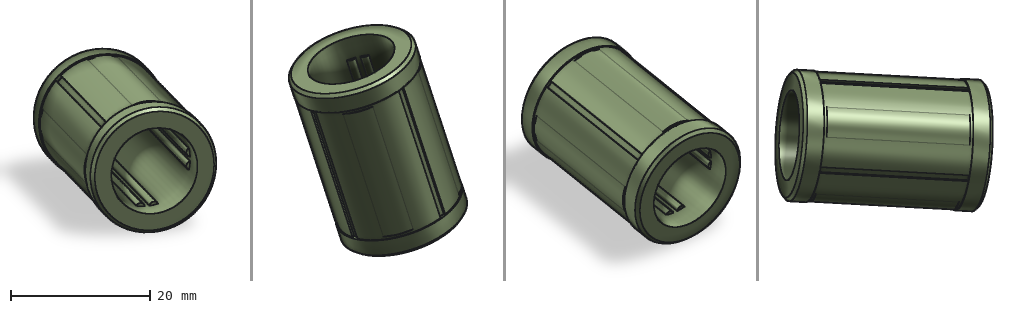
import cadquery as cq
import math

length = 28.0
outer_dia = 19.0
bore_dia = 13.0
shaft_dia = 11.98

ring_width = 3.0
ring_chamfer = 0.5
sleeve_drop = 0.2

pad_length = 21.1
pad_width = 4.45

groove_width = 1.0
groove_depth = 0.35

ball_radius = 0.7
track_spacing = 2.07

outer_radius = outer_dia / 2
bore_radius = bore_dia / 2
shaft_radius = shaft_dia / 2
sleeve_radius = outer_radius - sleeve_drop
sleeve_length = length - 2 * ring_width
track_length = pad_length
track_offset = track_spacing / 2
track_height = math.sqrt((shaft_radius + ball_radius) ** 2 - track_offset**2)

quarter_turns = [0, 90, 180, 270]
diagonals = [45, 135, 225, 315]


def rod(radius, rod_length):
    """Solid cylinder along X, centred on the origin."""
    return cq.Workplane("YZ").circle(radius).extrude(rod_length / 2, both=True)


def around_axis(shape, angles):
    """Copies of a shape turned about the X axis, joined together."""
    copies = cq.Workplane("YZ")
    for angle in angles:
        copies = copies.add(shape.rotate((0, 0, 0), (1, 0, 0), angle))
    return copies.combine()


def stepped_body():
    """Full-diameter chamfered end rings with the slightly smaller sleeve between."""
    body = rod(outer_radius, length).faces("<X or >X").chamfer(ring_chamfer)
    waist = rod(outer_radius, sleeve_length).cut(rod(sleeve_radius, sleeve_length))
    return body.cut(waist)


def grooves():
    """Cutters for the lengthwise grooves, running from ring to ring."""
    floor_height = sleeve_radius - groove_depth
    cutter = cq.Workplane("XY").workplane(offset=floor_height)
    cutter = cutter.rect(sleeve_length, groove_width).extrude(outer_radius - floor_height)
    return around_axis(cutter, diagonals)


def pads():
    """Crowned plates: crest as high as the end rings, long edges running out on the sleeve."""
    half_width = pad_width / 2
    edge_height = math.sqrt(sleeve_radius**2 - half_width**2)
    pad = (
        cq.Workplane("YZ")
        .moveTo(-half_width, bore_radius)
        .lineTo(-half_width, edge_height)
        .threePointArc((0, outer_radius), (half_width, edge_height))
        .lineTo(half_width, bore_radius)
        .close()
        .extrude(pad_length / 2, both=True)
    )
    return around_axis(pad, quarter_turns)


def ball_tracks():
    """Pairs of rounded tracks inside the bore, set back behind the end rings."""
    pair = (
        cq.Workplane("YZ")
        .pushPoints([(-track_offset, track_height), (track_offset, track_height)])
        .circle(ball_radius)
        .extrude(track_length / 2, both=True)
    )
    return around_axis(pair, quarter_turns)


result = (
    stepped_body()
    .cut(grooves())
    .union(pads())
    .cut(rod(bore_radius, length))
    .union(ball_tracks())
)